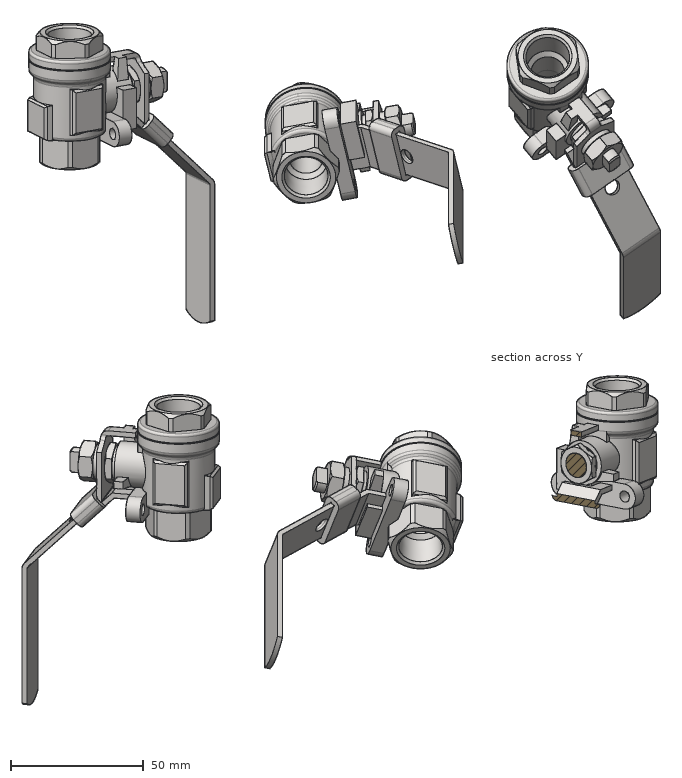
import cadquery as cq
import math


HALF_LENGTH = 25.4
HANDLE_BOTTOM_Z = -98.0

BODY_RADIUS = 13.66
BODY_BOTTOM_Z = -13.7
BODY_BOTTOM_FILLET = 1.3
FLANGE_RADIUS = 15.4
FLANGE_TOP_Z = 18.65
FLANGE_STRAIGHT_END_Z = 10.4
FLANGE_FILLET = 1.0
SHOULDER_FILLET = 1.7
JOINT_Z = 15.05
JOINT_HEIGHT = 0.5
JOINT_DEPTH = 0.25

END_HEX_FLATS = 22.6
END_HEX_CORNER_FLATS = 25.1
END_RIM_DIAMETER = 22.3
MOUTH_DIAMETER = 18.2
THREAD_OUTER_DIAMETER = 16.4
THREAD_INNER_DIAMETER = 15.9
THREAD_DEPTH = 12.0
FLOW_DIAMETER = 12.5

PAD_DRAFT = 10.0
PAD_ROOT_DEPTH = 3.0
SIDE_PAD_WIDTH = 13.5
SIDE_PAD_REACH = 14.0
SIDE_PAD_BOTTOM_Z = -10.8
SIDE_PAD_TOP_Z = 7.1
SIDE_PAD_BEVEL_WIDTH = 1.0
SIDE_PAD_BEVEL_DEPTH = 0.95
FRONT_PAD_WIDTH = 13.2
FRONT_PAD_REACH = 14.8
FRONT_PAD_BOTTOM_Z = -13.4
FRONT_PAD_TOP_Z = 0.1
FRONT_PAD_BEVEL_WIDTH = 0.6
FRONT_PAD_BEVEL_DEPTH = 1.1

EAR_SPAN = 38.5
EAR_HEIGHT = 9.8
EAR_Z = -12.55
EAR_HOLE_DIAMETER = 4.3
EAR_BACK_Y = 15.8
EAR_THICKNESS = 5.6

BOSS_RADIUS = 8.55
BOSS_END_Y = 22.8
BOSS_WEB_HALF_WIDTH = 5.2
STOP_NEAR_Y = 17.5
STOP_END_NEAR_Y = 18.3
STOP_FAR_Y = 21.8
STOP_ROOT_WIDTH = 4.5
STOP_END_WIDTH = 2.85
BLOCK_REACH = 12.65
BLOCK_OVERHANG = 3.3

STEM_DIAMETER = 9.53
STEM_ACROSS_FLATS = 5.0
STEM_END_Y = 41.5
STEM_CHAMFER = 0.6
COLLAR_DIAMETER = 13.2
NUT_FLATS = 14.0
GLAND_NUT_START_Y = 24.2
GLAND_NUT_END_Y = 27.0
LEVER_NUT_START_Y = 31.6
LEVER_NUT_END_Y = 37.2
NUT_CHAMFER = 0.6

SHEET = 2.0
LEVER_WIDTH = 17.6
LEVER_BACK_Y = 27.6
GRIP_OUTER_Y = 58.5
SLOPE_SUM = 16.5
GRIP_END_SAG = 2.6
GRIP_BEND_RADIUS = 3.0
SHOULDER_Z = 6.85
SHOULDER_ANGLE = 30.0
NECK_FILLET = 2.0
TAB_WIDTH = STEM_ACROSS_FLATS
TAB_TOP_Z = 13.5
TAB_END_Y = 16.1
TAB_BEND_RADIUS = 3.0
LEVER_HOLE_DIAMETER = 6.0
LEVER_HOLE_ALONG = 44.05

SLIDE_WIDTH = 22.7
SLIDE_THICKNESS = 6.8
SLIDE_START = 28.75
SLIDE_END = 40.9
SLIDE_FILLET = 2.35
SLIDE_SLOT_WIDTH = 18.4
TONGUE_TOP_Z = -8.9
TONGUE_END_Y = TAB_END_Y
TONGUE_GAP = 0.25

CORNER = math.sqrt(0.5)


def block(x, y, z):
    """Box spanning the (low, high) pairs x, y and z."""
    size = (x[1] - x[0], y[1] - y[0], z[1] - z[0])
    return cq.Workplane("XY").box(*size, centered=False).translate((x[0], y[0], z[0]))


def stem_plane(y):
    """Workplane across the stem axis, with its normal toward +Y and its local Y toward +Z."""
    return cq.Workplane(cq.Plane(origin=(0, y, 0), xDir=(-1, 0, 0), normal=(0, 1, 0)))


def stem_cylinder(diameter, start, end):
    return stem_plane(start).circle(diameter / 2).extrude(end - start)


def slope_block(width, thickness, start, end):
    """Plate centred on the sloping stretch of the lever, between two positions down the slope."""
    plane = cq.Plane(
        origin=(0, SLOPE_SUM / 2, SLOPE_SUM / 2),
        xDir=(1, 0, 0),
        normal=(0, CORNER, -CORNER),
    )
    return cq.Workplane(plane).workplane(offset=start).rect(width, thickness).extrude(end - start)


def hexagon_prism(plane, across_flats, first_angle, length):
    """Hexagonal prism with its first corner at the given angle in degrees."""
    radius = across_flats / math.sqrt(3)
    angles = [math.radians(first_angle + 60 * i) for i in range(6)]
    corners = [(radius * math.cos(a), radius * math.sin(a)) for a in angles]
    return plane.polyline(corners).close().extrude(length)


def pipe_end(inner_z, outer_z, first_angle):
    """Hexagonal end with flattened corners and a 45 degree chamfer round its outer rim."""
    length = abs(outer_z - inner_z)
    hexagon = hexagon_prism(cq.Workplane("XY"), END_HEX_FLATS, first_angle, length)
    corner_cut = hexagon_prism(cq.Workplane("XY"), END_HEX_CORNER_FLATS, first_angle + 30, length)
    rim_chamfer = (END_HEX_CORNER_FLATS - END_RIM_DIAMETER) / 2
    envelope = (
        cq.Workplane("XY")
        .circle(END_HEX_CORNER_FLATS / 2 + rim_chamfer)
        .extrude(length)
        .faces(">Z")
        .chamfer(2 * rim_chamfer)
    )
    end = hexagon.intersect(corner_cut).intersect(envelope)
    if outer_z < inner_z:
        end = end.mirror("XY")
    return end.translate((0, 0, inner_z))


def body_shell():
    """Round body with the flange, the sloping shoulder below it and the seam groove."""
    shoulder_end_z = FLANGE_STRAIGHT_END_Z - (FLANGE_RADIUS - BODY_RADIUS)
    profile = [
        (0, BODY_BOTTOM_Z),
        (BODY_RADIUS, BODY_BOTTOM_Z),
        (BODY_RADIUS, shoulder_end_z),
        (FLANGE_RADIUS, FLANGE_STRAIGHT_END_Z),
        (FLANGE_RADIUS, FLANGE_TOP_Z),
        (0, FLANGE_TOP_Z),
    ]
    shell = cq.Workplane("XZ").polyline(profile).close().revolve(360, (0, 0, 0), (0, 1, 0))
    shell = shell.faces("<Z").edges().fillet(BODY_BOTTOM_FILLET)
    for z, fillet in (
        (shoulder_end_z, SHOULDER_FILLET),
        (FLANGE_STRAIGHT_END_Z, SHOULDER_FILLET),
        (FLANGE_TOP_Z, FLANGE_FILLET),
    ):
        rim = cq.selectors.BoxSelector(
            (-FLANGE_RADIUS, -FLANGE_RADIUS, z - fillet / 2), (FLANGE_RADIUS, FLANGE_RADIUS, z + fillet / 2)
        )
        shell = shell.edges(rim).fillet(fillet)
    groove = [
        (FLANGE_RADIUS, JOINT_Z - JOINT_HEIGHT / 2),
        (FLANGE_RADIUS - JOINT_DEPTH, JOINT_Z),
        (FLANGE_RADIUS, JOINT_Z + JOINT_HEIGHT / 2),
    ]
    return shell.cut(cq.Workplane("XZ").polyline(groove).close().revolve(360, (0, 0, 0), (0, 1, 0)))


def pad(width, bottom_z, top_z, reach, bevel_width, bevel_depth):
    """Pad on the -Y side with drafted flanks and a bevel round its flat face."""
    height = top_z - bottom_z
    shelf = cq.Workplane("XZ", origin=(0, bevel_depth - reach, (bottom_z + top_z) / 2))
    flanks = shelf.rect(width, height).extrude(-PAD_ROOT_DEPTH, taper=-PAD_DRAFT)
    bevel = (
        shelf.rect(width, height)
        .workplane(offset=bevel_depth)
        .rect(width - 2 * bevel_width, height - 2 * bevel_width)
        .loft()
    )
    above_body_bottom = block((-width, width), (-reach, 0), (BODY_BOTTOM_Z, FLANGE_TOP_Z))
    return flanks.union(bevel).intersect(above_body_bottom)


def side_pad():
    """Pad on the -X side."""
    return pad(
        SIDE_PAD_WIDTH,
        SIDE_PAD_BOTTOM_Z,
        SIDE_PAD_TOP_Z,
        SIDE_PAD_REACH,
        SIDE_PAD_BEVEL_WIDTH,
        SIDE_PAD_BEVEL_DEPTH,
    ).rotate((0, 0, 0), (0, 0, 1), -90)


def front_pad():
    """Pad on the -Y side."""
    return pad(
        FRONT_PAD_WIDTH,
        FRONT_PAD_BOTTOM_Z,
        FRONT_PAD_TOP_Z,
        FRONT_PAD_REACH,
        FRONT_PAD_BEVEL_WIDTH,
        FRONT_PAD_BEVEL_DEPTH,
    )


def ears():
    """Mounting plate with a rounded, drilled ear on each side."""
    hole_x = (EAR_SPAN - EAR_HEIGHT) / 2
    return (
        cq.Workplane("XZ", origin=(0, EAR_BACK_Y, EAR_Z))
        .slot2D(EAR_SPAN, EAR_HEIGHT)
        .pushPoints([(-hole_x, 0), (hole_x, 0)])
        .circle(EAR_HOLE_DIAMETER / 2)
        .extrude(EAR_THICKNESS)
    )


def boss():
    """Stem boss with the web that joins it to the flange."""
    web = cq.Workplane("XY").circle(FLANGE_RADIUS).extrude(FLANGE_STRAIGHT_END_Z + SHOULDER_FILLET)
    web = web.intersect(
        block((-BOSS_WEB_HALF_WIDTH, BOSS_WEB_HALF_WIDTH), (0, FLANGE_RADIUS), (0, FLANGE_TOP_Z))
    )
    return stem_cylinder(2 * BOSS_RADIUS, 0, BOSS_END_Y).union(web)


def upper_stop():
    """Tapered stop on the +Z side of the boss, flush with the side of the lever tab."""
    near_x = STEM_ACROSS_FLATS / 2
    root_z = BOSS_RADIUS / 2
    lean = (STOP_END_NEAR_Y - STOP_NEAR_Y) / (TAB_TOP_Z - BOSS_RADIUS)
    root_y = STOP_NEAR_Y - lean * (BOSS_RADIUS - root_z)

    def section(plane, width, near_y):
        return plane.moveTo(near_x + width / 2, (near_y + STOP_FAR_Y) / 2).rect(width, STOP_FAR_Y - near_y)

    root = section(cq.Workplane("XY", origin=(0, 0, root_z)), STOP_ROOT_WIDTH, root_y)
    tip_plane = root.workplane(offset=TAB_TOP_Z - root_z, origin=(0, 0, root_z))
    return section(tip_plane, STOP_END_WIDTH, STOP_END_NEAR_Y).loft()


def side_stop():
    """The upper stop reflected onto the -X side of the boss, in the plane X = -Z."""
    return upper_stop().mirror("XY").rotate((0, 0, 0), (0, 1, 0), 90)


def stop_block():
    """Square block behind the ears, in the quarter between +X and -Z."""
    return block(
        (-BLOCK_OVERHANG, BLOCK_REACH), (EAR_BACK_Y, STOP_FAR_Y), (-BLOCK_REACH, BLOCK_OVERHANG)
    )


def nut(start, end, both_ends):
    """Hexagon nut on the stem, with two flats facing +X and -X."""
    hexagon = hexagon_prism(stem_plane(start), NUT_FLATS, 30, end - start)
    corner_radius = NUT_FLATS / math.sqrt(3)
    envelope = stem_cylinder(2 * corner_radius, start, end)
    chamfer_width = corner_radius - NUT_FLATS / 2
    envelope = envelope.faces(">Y").chamfer(NUT_CHAMFER, chamfer_width)
    if both_ends:
        envelope = envelope.faces("<Y").chamfer(NUT_CHAMFER, chamfer_width)
    return hexagon.intersect(envelope)


def stem():
    """Stem with two flats, its collars and both nuts."""
    half_flat = STEM_ACROSS_FLATS / 2
    rod = stem_cylinder(STEM_DIAMETER, 0, STEM_END_Y).faces(">Y").chamfer(STEM_CHAMFER)
    flats = block((-half_flat, half_flat), (0, STEM_END_Y), (-STEM_DIAMETER, STEM_DIAMETER))
    round_part = stem_cylinder(STEM_DIAMETER, 0, LEVER_BACK_Y)
    return (
        rod.intersect(flats)
        .union(round_part)
        .union(stem_cylinder(COLLAR_DIAMETER, BOSS_END_Y, GLAND_NUT_START_Y))
        .union(nut(GLAND_NUT_START_Y, GLAND_NUT_END_Y, False))
        .union(stem_cylinder(COLLAR_DIAMETER, LEVER_BACK_Y + SHEET, LEVER_NUT_START_Y))
        .union(nut(LEVER_NUT_START_Y, LEVER_NUT_END_Y, True))
    )


def lever():
    """Bent sheet lever: stop tab, plate on the stem, 45 degree stretch and vertical grip."""
    front_y = LEVER_BACK_Y + SHEET
    grip_inner_y = GRIP_OUTER_Y - SHEET
    upper_sum = SLOPE_SUM + SHEET * CORNER
    lower_sum = SLOPE_SUM - SHEET * CORNER
    side = [
        (TAB_END_Y, TAB_TOP_Z),
        (front_y, TAB_TOP_Z),
        (front_y, upper_sum - front_y),
        (GRIP_OUTER_Y, upper_sum - GRIP_OUTER_Y),
        (GRIP_OUTER_Y, HANDLE_BOTTOM_Z),
        (grip_inner_y, HANDLE_BOTTOM_Z),
        (grip_inner_y, lower_sum - grip_inner_y),
        (LEVER_BACK_Y, lower_sum - LEVER_BACK_Y),
        (LEVER_BACK_Y, TAB_TOP_Z - SHEET),
        (TAB_END_Y, TAB_TOP_Z - SHEET),
    ]
    sheet = cq.Workplane("YZ").polyline(side).close().extrude(LEVER_WIDTH / 2, both=True)
    bends = (
        (side[1], TAB_BEND_RADIUS),
        (side[8], TAB_BEND_RADIUS - SHEET),
        (side[3], GRIP_BEND_RADIUS),
        (side[6], GRIP_BEND_RADIUS - SHEET),
    )
    for corner, radius in bends:
        bend_edge = cq.selectors.NearestToPointSelector((0, *corner))
        sheet = sheet.edges(bend_edge).fillet(radius)

    half = LEVER_WIDTH / 2
    neck = TAB_WIDTH / 2
    neck_z = SHOULDER_Z + (half - neck) * math.tan(math.radians(SHOULDER_ANGLE))
    outline = (
        cq.Workplane("XZ")
        .moveTo(neck, TAB_TOP_Z)
        .lineTo(neck, neck_z)
        .lineTo(half, SHOULDER_Z)
        .lineTo(half, HANDLE_BOTTOM_Z + GRIP_END_SAG)
        .threePointArc((0, HANDLE_BOTTOM_Z), (-half, HANDLE_BOTTOM_Z + GRIP_END_SAG))
        .lineTo(-half, SHOULDER_Z)
        .lineTo(-neck, neck_z)
        .lineTo(-neck, TAB_TOP_Z)
        .close()
        .extrude(-GRIP_OUTER_Y)
    )
    for x in (-neck, neck):
        corner = cq.selectors.NearestToPointSelector((x, GRIP_OUTER_Y / 2, neck_z))
        outline = outline.edges(corner).fillet(NECK_FILLET)
    hole_plane = cq.Plane(
        origin=(0, (SLOPE_SUM / 2) + LEVER_HOLE_ALONG * CORNER, (SLOPE_SUM / 2) - LEVER_HOLE_ALONG * CORNER),
        xDir=(1, 0, 0),
        normal=(0, CORNER, CORNER),
    )
    hole = cq.Workplane(hole_plane).circle(LEVER_HOLE_DIAMETER / 2).extrude(SHEET, both=True)
    return sheet.intersect(outline).cut(hole)


def locking_slide():
    """Rounded sleeve round the sloping stretch, with a bent tongue toward the stop block."""
    slot = slope_block(SLIDE_SLOT_WIDTH, SHEET, SLIDE_START, SLIDE_END)
    sleeve = slope_block(SLIDE_WIDTH, SLIDE_THICKNESS, SLIDE_START, SLIDE_END)
    long_edges = cq.selectors.ParallelDirSelector(cq.Vector(0, 1, -1))
    sleeve = sleeve.edges(long_edges).fillet(SLIDE_FILLET).cut(slot)
    upper_sum = SLOPE_SUM - (SHEET / 2 + TONGUE_GAP) / CORNER
    lower_sum = SLOPE_SUM - (SHEET / 2 + TONGUE_GAP + SHEET) / CORNER
    tongue_bottom_z = TONGUE_TOP_Z - SHEET
    buried_end = SLIDE_START + SLIDE_FILLET
    side = [
        (TONGUE_END_Y, TONGUE_TOP_Z),
        (upper_sum - TONGUE_TOP_Z, TONGUE_TOP_Z),
        (upper_sum / 2 + buried_end * CORNER, upper_sum / 2 - buried_end * CORNER),
        (lower_sum / 2 + buried_end * CORNER, lower_sum / 2 - buried_end * CORNER),
        (lower_sum - tongue_bottom_z, tongue_bottom_z),
        (TONGUE_END_Y, tongue_bottom_z),
    ]
    tongue = cq.Workplane("YZ").polyline(side).close().extrude(LEVER_WIDTH / 2, both=True)
    return sleeve.union(tongue)


def flow_passage():
    """Through bore with a tapered thread bore at each end, chamfered at the mouth and the floor."""
    mouth = MOUTH_DIAMETER / 2
    outer = THREAD_OUTER_DIAMETER / 2
    inner = THREAD_INNER_DIAMETER / 2
    flow = FLOW_DIAMETER / 2
    floor_z = HALF_LENGTH - THREAD_DEPTH
    profile = [
        (0, 0),
        (flow, 0),
        (flow, floor_z - (inner - flow)),
        (inner, floor_z),
        (outer, HALF_LENGTH - (mouth - outer)),
        (mouth, HALF_LENGTH),
        (0, HALF_LENGTH),
    ]
    half = cq.Workplane("XZ").polyline(profile).close().revolve(360, (0, 0, 0), (0, 1, 0))
    return half.union(half.mirror("XY"))


valve_body = (
    body_shell()
    .union(pipe_end(FLANGE_TOP_Z, HALF_LENGTH, 0))
    .union(pipe_end(BODY_BOTTOM_Z, -HALF_LENGTH, 30))
    .union(side_pad())
    .union(side_pad().mirror("YZ"))
    .union(front_pad())
    .union(ears())
    .union(boss())
    .union(upper_stop())
    .union(side_stop())
    .union(stop_block())
    .union(stem())
    .cut(flow_passage())
)

result = valve_body.union(lever()).union(locking_slide())